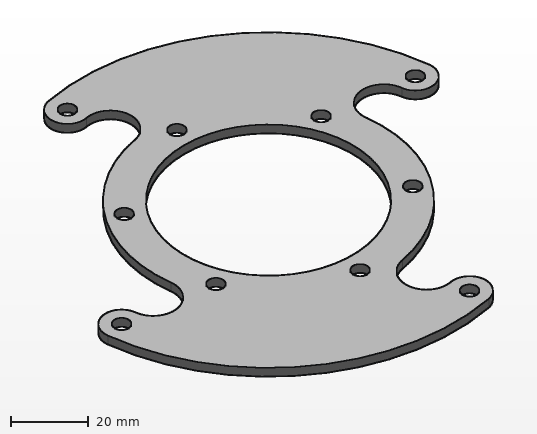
import cadquery as cq
import math

outer_radius = 70.0
ring_radius = 42.5
bore_radius = 31.5
thickness = 3.0
lug_count = 4
lug_radius = 6.0
hole_diameter = 5.0
ring_hole_count = 6
ring_hole_circle_radius = 37.5
ring_hole_start_angle = 45.0

lug_center_radius = outer_radius - lug_radius
lug_inner_radius = outer_radius - 2 * lug_radius
notch_center_radius = (lug_inner_radius + ring_radius) / 2
notch_radius = (lug_inner_radius - ring_radius) / 2


def polar(radius, angle):
    """Point at a radius and an angle in degrees."""
    return (radius * math.cos(math.radians(angle)), radius * math.sin(math.radians(angle)))


def add_half_plate(outline, turn):
    """Trace one wing and the bare ring quarter after it, starting at angle 90 + turn."""

    def place(x, y):
        angle = math.radians(turn)
        return (
            x * math.cos(angle) - y * math.sin(angle),
            x * math.sin(angle) + y * math.cos(angle),
        )

    return (
        outline
        .threePointArc(polar(outer_radius, 135 + turn), place(-outer_radius, 0))
        .threePointArc(place(-lug_center_radius, -lug_radius), place(-lug_inner_radius, 0))
        .threePointArc(place(-notch_center_radius, notch_radius), place(-ring_radius, 0))
        .threePointArc(polar(ring_radius, 225 + turn), place(0, -ring_radius))
        .threePointArc(place(notch_radius, -notch_center_radius), place(0, -lug_inner_radius))
        .threePointArc(place(-lug_radius, -lug_center_radius), place(0, -outer_radius))
    )


outline = cq.Workplane("XY").moveTo(0, outer_radius)
for turn in (0, 180):
    outline = add_half_plate(outline, turn)
plate = outline.close().extrude(thickness)

bore = cq.Workplane("XY").circle(bore_radius).extrude(thickness)
ring_holes = (
    cq.Workplane("XY")
    .polarArray(ring_hole_circle_radius, ring_hole_start_angle, 360, ring_hole_count)
    .circle(hole_diameter / 2)
    .extrude(thickness)
)
lug_holes = (
    cq.Workplane("XY")
    .polarArray(lug_center_radius, 0, 360, lug_count)
    .circle(hole_diameter / 2)
    .extrude(thickness)
)

result = plate.cut(bore).cut(ring_holes).cut(lug_holes)